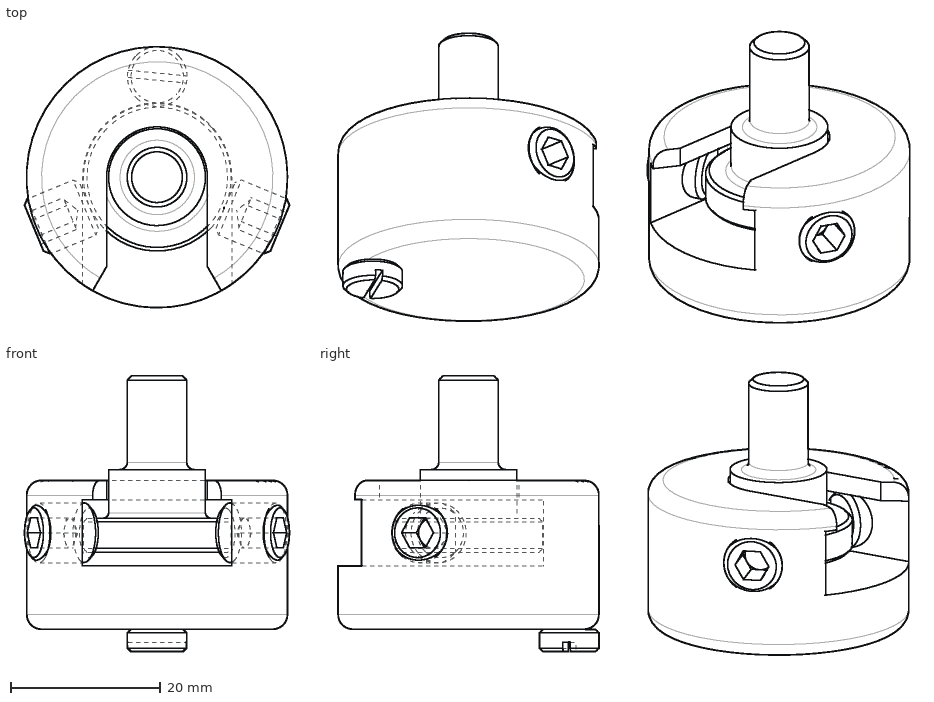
import cadquery as cq
import math

housing_diameter = 35.0
housing_height = 19.98
housing_edge_radius = 2.0

cavity_width = 19.98
cavity_floor_z = 8.5
cavity_ceiling_z = 17.4
neck_width = 13.5
neck_flare_y = -12.0
neck_flare_angle = 30.0

flange_diameter = 19.8
flange_bottom_z = 10.35
flange_top_z = 14.9
flange_chamfer = 0.48
collar_diameter = 13.0
collar_top_z = 21.42
collar_root_radius = 0.75
shank_diameter = 8.0
shank_top_z = 34.0
shank_root_radius = 1.0
shank_chamfer = 0.6

set_screw_diameter = 8.0
set_screw_length = 7.95
set_screw_end_diameter = 6.65
set_screw_chamfer = (set_screw_diameter - set_screw_end_diameter) / 2
set_screw_angles = (180.0 + 22.5, 360.0 - 22.5)
set_screw_z = (cavity_floor_z + cavity_ceiling_z) / 2
set_screw_tip_distance = flange_diameter / 2
socket_across_flats = 4.0
socket_depth = 5.18
socket_point_depth = 1.15

head_diameter = 8.0
head_height = 3.0
head_chamfer = 0.48
head_y = (housing_diameter - head_diameter) / 2
head_slot_width = 0.95
head_slot_depth = 1.3
head_slot_angle = -5.5


def make_t_slot():
    """Cutter for the cavity and its neck, each with a round inner end."""
    reach = housing_diameter
    cavity_height = cavity_ceiling_z - cavity_floor_z
    cavity = (
        cq.Workplane("XY", origin=(0, 0, cavity_floor_z))
        .moveTo(-cavity_width / 2, -reach)
        .lineTo(-cavity_width / 2, 0)
        .threePointArc((0, cavity_width / 2), (cavity_width / 2, 0))
        .lineTo(cavity_width / 2, -reach)
        .close()
        .extrude(cavity_height)
    )
    half_neck = neck_width / 2
    half_mouth = half_neck + (reach + neck_flare_y) * math.tan(math.radians(neck_flare_angle))
    neck = (
        cq.Workplane("XY", origin=(0, 0, cavity_ceiling_z))
        .moveTo(-half_mouth, -reach)
        .lineTo(-half_neck, neck_flare_y)
        .lineTo(-half_neck, 0)
        .threePointArc((0, half_neck), (half_neck, 0))
        .lineTo(half_neck, neck_flare_y)
        .lineTo(half_mouth, -reach)
        .close()
        .extrude(housing_height - cavity_ceiling_z)
    )
    return cavity.union(neck)


def set_screw_plane(angle, distance):
    """Plane on a set screw axis whose normal points away from the drum axis."""
    x_out = math.cos(math.radians(angle))
    y_out = math.sin(math.radians(angle))
    return cq.Plane(
        origin=(distance * x_out, distance * y_out, set_screw_z),
        xDir=(-y_out, x_out, 0),
        normal=(x_out, y_out, 0),
    )


def make_housing():
    drum = cq.Workplane("XY").circle(housing_diameter / 2).extrude(housing_height)
    drum = drum.faces("<Z or >Z").edges().fillet(housing_edge_radius)
    drum = drum.cut(make_t_slot())
    for angle in set_screw_angles:
        drum = drum.cut(make_set_screw_blank(angle))
    return drum


def make_stud():
    flange = (
        cq.Workplane("XY", origin=(0, 0, flange_bottom_z))
        .circle(flange_diameter / 2)
        .extrude(flange_top_z - flange_bottom_z)
        .faces("<Z or >Z")
        .chamfer(flange_chamfer)
    )
    half_collar = collar_diameter / 2
    half_shank = shank_diameter / 2
    collar_and_shank = (
        cq.Workplane("XZ")
        .moveTo(0, flange_top_z)
        .lineTo(half_collar + collar_root_radius, flange_top_z)
        .radiusArc((half_collar, flange_top_z + collar_root_radius), collar_root_radius)
        .lineTo(half_collar, collar_top_z)
        .lineTo(half_shank + shank_root_radius, collar_top_z)
        .radiusArc((half_shank, collar_top_z + shank_root_radius), shank_root_radius)
        .lineTo(half_shank, shank_top_z - shank_chamfer)
        .lineTo(half_shank - shank_chamfer, shank_top_z)
        .lineTo(0, shank_top_z)
        .close()
        .revolve(360, (0, 0), (0, 1))
    )
    return flange.union(collar_and_shank)


def make_set_screw_blank(angle):
    """Set screw without its socket, which is also the shape of its seat in the housing."""
    return (
        cq.Workplane(set_screw_plane(angle, set_screw_tip_distance))
        .circle(set_screw_diameter / 2)
        .extrude(set_screw_length)
        .edges("%CIRCLE")
        .chamfer(set_screw_chamfer)
    )


def make_set_screw(angle):
    """Set screw with a hex socket that ends in a shallow drill point."""
    outer_end = set_screw_tip_distance + set_screw_length
    socket_across_corners = socket_across_flats / math.cos(math.radians(30))
    socket = (
        cq.Workplane(set_screw_plane(angle, outer_end))
        .polygon(6, socket_across_corners)
        .extrude(-socket_depth)
    )
    bottom = set_screw_plane(angle, outer_end - socket_depth)
    drill_point = cq.Workplane(
        cq.Solid.makeCone(socket_across_flats / 2, 0, socket_point_depth, bottom.origin, -bottom.zDir)
    )
    return make_set_screw_blank(angle).cut(socket).cut(drill_point)


def make_slotted_head():
    head = (
        cq.Workplane("XY", origin=(0, head_y, -head_height))
        .circle(head_diameter / 2)
        .extrude(head_height)
        .faces("<Z or >Z")
        .chamfer(head_chamfer)
    )
    slot = (
        cq.Workplane("XY", origin=(0, head_y, -head_height))
        .transformed(rotate=(0, 0, head_slot_angle))
        .rect(2 * head_diameter, head_slot_width)
        .extrude(head_slot_depth)
    )
    return head.cut(slot)


housing = make_housing()
stud = make_stud()
set_screws = [make_set_screw(angle) for angle in set_screw_angles]
slotted_head = make_slotted_head()

result = cq.Compound.makeCompound(
    [
        housing.val(),
        stud.val(),
        *[screw.val() for screw in set_screws],
        slotted_head.val(),
    ]
)